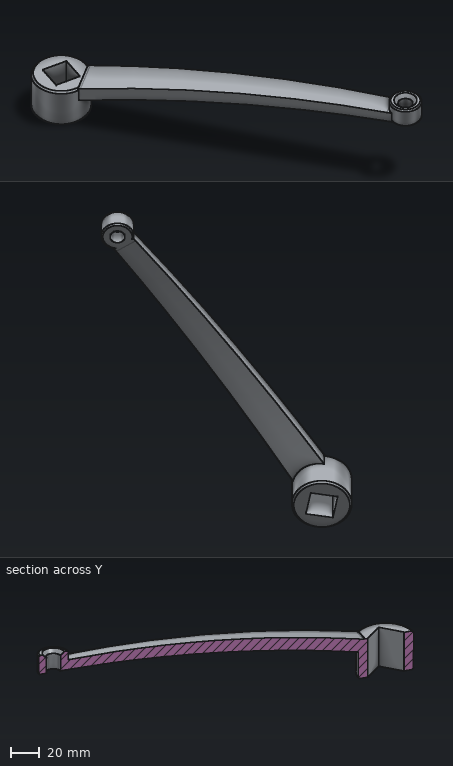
import cadquery as cq
import math

hub_diameter = 42.0
hub_height = 30.5
hub_chamfer = 1.5
square_side = 19.2

overall_length = 282.5
overall_height = 61.0
eye_diameter = 23.0
eye_height = 15.0
eye_chamfer = 1.0
eye_hole_diameter = 10.5
countersink_diameter = 16.0
countersink_angle = 90
eye_x = overall_length - hub_diameter / 2 - eye_diameter / 2
eye_bottom = overall_height - eye_height

arm_start_x = 15.8
root_pad_end_x = 17.2
arm_end_x = eye_x - 7.5
arm_start_width = 26.8
arm_end_width = 16.7
arm_end_thickness = 8.2
top_level_x = 220.4
top_arc_end_x = eye_x - eye_diameter / 2
bottom_level_x = 240.0
top_radius = 887.0
bottom_radius = 969.0
arm_bottom = eye_bottom
arm_top = arm_bottom + arm_end_thickness


def arc_height(x, level_x, level_z, radius):
    """Height of an arc whose highest point is (level_x, level_z)."""
    return level_z - radius + math.sqrt(radius**2 - (level_x - x) ** 2)


def arc_points(start_x, end_x, level_x, level_z, radius):
    """Start, middle and end points of one long face of the arm."""
    middle_x = (start_x + end_x) / 2
    return [(x, arc_height(x, level_x, level_z, radius)) for x in (start_x, middle_x, end_x)]


def make_hub():
    hub = cq.Workplane("XY").circle(hub_diameter / 2).extrude(hub_height)
    return hub.edges().chamfer(hub_chamfer)


def make_eye():
    eye = cq.Workplane("XY", origin=(eye_x, 0, eye_bottom)).circle(eye_diameter / 2).extrude(eye_height)
    return eye.edges().chamfer(eye_chamfer)


def make_arm():
    top_start, top_middle, top_end = arc_points(
        root_pad_end_x, top_arc_end_x, top_level_x, arm_top, top_radius)
    bottom_start, bottom_middle, bottom_end = arc_points(
        arm_start_x, bottom_level_x, bottom_level_x, arm_bottom, bottom_radius)
    profile = (
        cq.Workplane("XZ")
        .moveTo(*bottom_start)
        .threePointArc(bottom_middle, bottom_end)
        .lineTo(eye_x, arm_bottom)
        .lineTo(eye_x, top_end[1])
        .lineTo(*top_end)
        .threePointArc(top_middle, top_start)
        .lineTo(arm_start_x, top_start[1])
        .close()
        .extrude(hub_diameter / 2, both=True)
    )
    plan = (
        cq.Workplane("XY")
        .polyline([
            (arm_start_x, -arm_start_width / 2),
            (arm_end_x, -arm_end_width / 2),
            (arm_end_x, arm_end_width / 2),
            (arm_start_x, arm_start_width / 2),
        ])
        .close()
        .extrude(overall_height)
    )
    return profile.intersect(plan)


def cut_square_socket(body):
    socket = cq.Workplane("XY").rect(square_side, square_side).extrude(hub_height)
    return body.cut(socket.rotate((0, 0, 0), (0, 0, 1), 45))


def cut_eye_hole(body):
    return (
        body.copyWorkplane(cq.Workplane("XY", origin=(eye_x, 0, overall_height)))
        .cskHole(eye_hole_diameter, countersink_diameter, countersink_angle)
    )


body = make_hub().union(make_arm()).union(make_eye())
result = cut_eye_hole(cut_square_socket(body))